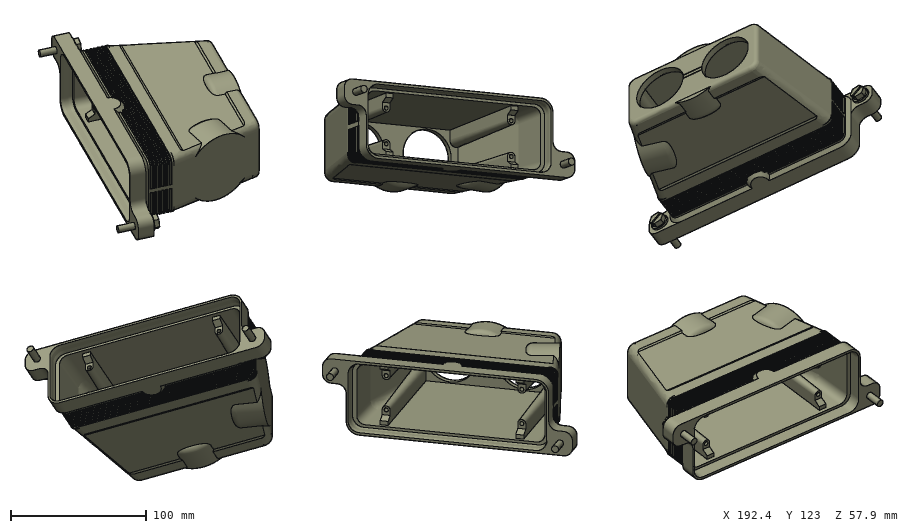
import cadquery as cq
import math


FLANGE_HALF_X = 78.0
FLANGE_HALF_Z = 28.97
FLANGE_THICK = 12.3
FLANGE_CORNER = 10.2
FLANGE_CHAMFER = 2.9

EAR_TIP_X = 96.2
EAR_WIDTH_Z = 19.2
EAR_ROUND = 7.0

COLLAR_HALF_X = 74.9
COLLAR_HALF_Z = 26.28
COLLAR_TOP_Y = 35.5
COLLAR_CORNER = 5.8
GROOVE_COUNT = 6
GROOVE_PITCH = 2.98
GROOVE_LAST_Y = 32.7
GROOVE_DEPTH = 0.5
GROOVE_FLOOR = 1.0
PARTING_STRIP_WIDTH = 3.8

SIDE_SLOPE = math.tan(math.radians(14.5))
HOOD_TOP_Y = 109.7
HOOD_CORNER = 7.1
HOOD_TOP_ROUND = 3.5

PANEL_START_Y = 43.1
PANEL_END_Y = 99.0
PANEL_DEPTH = 0.5
PANEL_RAMP = 1.7

BARREL_RADIUS = FLANGE_HALF_Z
BARREL_ROUND = 5.5
TOP_BARREL_START_Y = 86.6
TOP_BARREL_END_Y = 109.1
SIDE_BARREL_X = 39.8
SIDE_BARREL_Y = 68.5
NUB_SIZE_X = 15.8
NUB_SIZE_Z = 3.5
NUB_TOP_Y = 110.1

BUMP_RADIUS = 7.3
BUMP_Y = FLANGE_THICK

SEAL_HALF_X = 76.5
SEAL_HALF_Z = 27.0
SEAL_CORNER = 8.5
SEAL_STEP_X = 0.4
SEAL_STEP_Z = 0.5
SEAL_LEAD_IN = 2.7
SEAL_STRAIGHT_END = 6.4
SEAL_DEPTH = 9.0
CAVITY_HALF_X = 72.4
CAVITY_HALF_Z = 23.7
CAVITY_CORNER = 6.5
CAVITY_BEND_HALF_X = 70.6
CAVITY_FLOOR_Y = 105.0
CAVITY_FLOOR_HALF_X = 53.9
CAVITY_FLOOR_HALF_Z = 21.0
CAVITY_FLOOR_CORNER = 5.2

CABLE_HOLE_X = 28.1
CABLE_HOLE_RADIUS = 20.0

POST_X = 52.2
POST_Z = 13.5
POST_RADIUS = 3.0
POST_FACE_Y = 17.3
POST_DRAFT = 1.3
POST_HOLE_RADIUS = 1.5
POST_HOLE_DEPTH = 11.5
TAB_TIP_Y = 12.1
TAB_FOOT_Z = 17.5
TAB_TIP_Z = 20.5

SCREW_X = 86.6
SCREW_Z = 19.5
SCREW_RADIUS = 2.7
SCREW_TIP_Y = -12.9
WASHER_RADIUS = 6.7
WASHER_THICK = 1.5
HEX_ACROSS_CORNERS = 11.7
HEX_TOP_Y = 18.0
HEX_TURN = -13.0
HEX_HALF_STEP = 30.0
DRIVER_SLOT_WIDTH = 1.5
DRIVER_SLOT_DEPTH = 2.3

CUT_MARGIN = 9.6


def section_plane(y):
    """Plane at height y with local x along X and local y along Z."""
    return cq.Workplane("XZ", origin=(0, y, 0))


def rounded_section(half_x, half_z, corner):
    return cq.Sketch().rect(2 * half_x, 2 * half_z).vertices().fillet(corner)


def rounded_block(y_start, y_end, start, end=None):
    """Block between two rounded rectangles, each given as (half x, half z, corner)."""
    lift = cq.Location(cq.Vector(0, 0, y_start - y_end))
    first = rounded_section(*start)
    last = rounded_section(*(end or start)).moved(lift)
    return section_plane(y_start).placeSketch(first, last).loft(ruled=True)


def rod(x, z, radius, y_start, y_end):
    return section_plane(y_end).center(x, z).circle(radius).extrude(y_end - y_start)


def side_x(y):
    """Half width of the hood at height y."""
    return COLLAR_HALF_X - SIDE_SLOPE * (y - COLLAR_TOP_Y)


def make_flange():
    flange = rounded_block(0, FLANGE_THICK, (FLANGE_HALF_X, FLANGE_HALF_Z, FLANGE_CORNER))
    ear = make_ear()
    opposite_ear = ear.rotate((0, 0, 0), (0, 1, 0), 180)
    base = (FLANGE_HALF_X, FLANGE_HALF_Z, FLANGE_CORNER)
    tip = (COLLAR_HALF_X, COLLAR_HALF_Z, COLLAR_CORNER)
    chamfer = rounded_block(FLANGE_THICK, FLANGE_THICK + FLANGE_CHAMFER, base, tip)
    return flange.union(ear).union(opposite_ear).union(chamfer)


def make_ear():
    """Ear at the -X, +Z corner, blended into the flange end by a concave arc."""
    bottom_z = FLANGE_HALF_Z - EAR_WIDTH_Z
    inner_x = -FLANGE_HALF_X + FLANGE_CORNER
    blend_x = -FLANGE_HALF_X - EAR_ROUND
    blend_z = bottom_z - EAR_ROUND
    return (
        section_plane(FLANGE_THICK)
        .moveTo(inner_x, FLANGE_HALF_Z)
        .lineTo(-EAR_TIP_X + EAR_ROUND, FLANGE_HALF_Z)
        .radiusArc((-EAR_TIP_X, FLANGE_HALF_Z - EAR_ROUND), -EAR_ROUND)
        .lineTo(-EAR_TIP_X, bottom_z + EAR_ROUND)
        .radiusArc((-EAR_TIP_X + EAR_ROUND, bottom_z), -EAR_ROUND)
        .lineTo(blend_x, bottom_z)
        .radiusArc((-FLANGE_HALF_X, blend_z), EAR_ROUND)
        .lineTo(inner_x, blend_z)
        .close()
        .extrude(FLANGE_THICK)
    )


def make_collar():
    collar = rounded_block(FLANGE_THICK, COLLAR_TOP_Y, (COLLAR_HALF_X, COLLAR_HALF_Z, COLLAR_CORNER))
    for index in range(GROOVE_COUNT):
        collar = collar.cut(make_groove(GROOVE_LAST_Y - index * GROOVE_PITCH))
    return collar


def make_groove(y):
    """Trapezoidal ring groove, interrupted by the parting strip on both narrow ends."""
    half_floor = GROOVE_FLOOR / 2
    half_mouth = half_floor + GROOVE_DEPTH
    outer = (COLLAR_HALF_X, COLLAR_HALF_Z, COLLAR_CORNER)
    inner = tuple(size - GROOVE_DEPTH for size in outer)
    ring = rounded_block(y - half_mouth, y + half_mouth, [size + GROOVE_DEPTH for size in outer])
    ring = ring.cut(rounded_block(y - half_mouth, y - half_floor, outer, inner))
    ring = ring.cut(rounded_block(y - half_floor, y + half_floor, inner))
    ring = ring.cut(rounded_block(y + half_floor, y + half_mouth, inner, outer))
    strip = cq.Workplane("XY").box(4 * COLLAR_HALF_X, 4 * COLLAR_TOP_Y, PARTING_STRIP_WIDTH)
    return ring.cut(strip)


def make_hood():
    foot = (side_x(COLLAR_TOP_Y), COLLAR_HALF_Z, HOOD_CORNER)
    top = (side_x(HOOD_TOP_Y), COLLAR_HALF_Z, HOOD_CORNER)
    hood = rounded_block(COLLAR_TOP_Y, HOOD_TOP_Y, foot, top)
    hood = hood.faces(">Y").edges().fillet(HOOD_TOP_ROUND)
    panel = make_panel_cutter()
    return hood.cut(panel).cut(panel.mirror("XY"))


def make_panel_cutter():
    floor_z = COLLAR_HALF_Z - PANEL_DEPTH
    profile = [
        (PANEL_START_Y, COLLAR_HALF_Z),
        (PANEL_START_Y + PANEL_RAMP, floor_z),
        (PANEL_END_Y - PANEL_RAMP, floor_z),
        (PANEL_END_Y, COLLAR_HALF_Z),
    ]
    return cq.Workplane("YZ").polyline(profile).close().extrude(COLLAR_HALF_X, both=True)


def make_top_barrel():
    barrel = rod(0, 0, BARREL_RADIUS, TOP_BARREL_START_Y, TOP_BARREL_END_Y)
    barrel = barrel.faces("<Y").edges().fillet(BARREL_ROUND)
    nub = section_plane(NUB_TOP_Y).rect(NUB_SIZE_X, NUB_SIZE_Z).extrude(NUB_TOP_Y - TOP_BARREL_START_Y)
    return barrel.union(nub)


def make_side_barrel():
    """Barrel square to the sloping +X side and trimmed flush with it."""
    axis = cq.Vector(1, SIDE_SLOPE, 0).normalized()
    start = cq.Vector(SIDE_BARREL_X, SIDE_BARREL_Y, 0)
    plane = cq.Plane(origin=start, xDir=(0, 0, 1), normal=axis)
    barrel = cq.Workplane(plane).circle(BARREL_RADIUS).extrude(COLLAR_HALF_X)
    barrel = barrel.faces(cq.selectors.DirectionMinMaxSelector(axis, False)).edges().fillet(BARREL_ROUND)
    trim = (
        cq.Workplane("XY")
        .polyline([(0, 0), (side_x(0), 0), (side_x(HOOD_TOP_Y), HOOD_TOP_Y), (0, HOOD_TOP_Y)])
        .close()
        .extrude(BARREL_RADIUS, both=True)
    )
    return barrel.intersect(trim)


def make_latch_bumps():
    """Cones along Z whose tips are level with the flange, widening at 45 degrees to the collar."""
    base_radius = BUMP_RADIUS + FLANGE_HALF_Z
    center = cq.Vector(0, BUMP_Y, 0)
    cone = cq.Solid.makeCone(base_radius, BUMP_RADIUS, FLANGE_HALF_Z, center, cq.Vector(0, 0, 1))
    root = cq.Workplane("XY").box(4 * base_radius, 4 * base_radius, 2 * (CAVITY_HALF_Z + GROOVE_DEPTH))
    below = cq.Workplane("XZ").rect(4 * base_radius, 4 * base_radius).extrude(2 * base_radius)
    bump = cq.Workplane(cone).cut(root).cut(below)
    return bump.union(bump.mirror("XY"))


def make_cavity():
    """Seal seat at the mouth, then a hollow whose ends bend inwards to follow the hood."""
    depth = CAVITY_FLOOR_Y - SEAL_DEPTH
    bend_y = CAVITY_FLOOR_Y - (CAVITY_BEND_HALF_X - CAVITY_FLOOR_HALF_X) / SIDE_SLOPE
    wall_draft = (CAVITY_HALF_Z - CAVITY_FLOOR_HALF_Z) / depth
    bend_half_z = CAVITY_HALF_Z - wall_draft * (bend_y - SEAL_DEPTH)

    mouth = (SEAL_HALF_X, SEAL_HALF_Z, SEAL_CORNER)
    seat = (SEAL_HALF_X - SEAL_STEP_X, SEAL_HALF_Z - SEAL_STEP_Z, SEAL_CORNER)
    ledge = (SEAL_HALF_X - 2 * SEAL_STEP_X, SEAL_HALF_Z - 2 * SEAL_STEP_Z, SEAL_CORNER)
    entry = (CAVITY_HALF_X, CAVITY_HALF_Z, CAVITY_CORNER)
    bend = (CAVITY_BEND_HALF_X, bend_half_z, CAVITY_CORNER)
    floor = (CAVITY_FLOOR_HALF_X, CAVITY_FLOOR_HALF_Z, CAVITY_FLOOR_CORNER)

    cavity = rounded_block(0, SEAL_LEAD_IN, mouth, seat)
    cavity = cavity.union(rounded_block(SEAL_LEAD_IN, SEAL_STRAIGHT_END, seat))
    cavity = cavity.union(rounded_block(SEAL_STRAIGHT_END, SEAL_DEPTH, seat, ledge))
    cavity = cavity.union(rounded_block(SEAL_DEPTH, bend_y, entry, bend))
    return cavity.union(rounded_block(bend_y, CAVITY_FLOOR_Y, bend, floor))


def make_post():
    """Drafted screw post at +X, +Z with a ramped tab standing against the broad wall."""
    root_z = CAVITY_HALF_Z
    length = CAVITY_FLOOR_Y - POST_FACE_Y
    post = (
        section_plane(POST_FACE_Y)
        .moveTo(POST_X - POST_RADIUS, root_z)
        .lineTo(POST_X - POST_RADIUS, POST_Z)
        .threePointArc((POST_X, POST_Z - POST_RADIUS), (POST_X + POST_RADIUS, POST_Z))
        .lineTo(POST_X + POST_RADIUS, root_z)
        .close()
        .extrude(-length, taper=-POST_DRAFT)
    )
    ramp = [
        (POST_FACE_Y, TAB_FOOT_Z),
        (TAB_TIP_Y, TAB_TIP_Z),
        (TAB_TIP_Y, root_z),
        (POST_FACE_Y, root_z),
    ]
    tab = (
        cq.Workplane("YZ", origin=(POST_X, 0, 0))
        .polyline(ramp)
        .close()
        .extrude(POST_RADIUS, both=True)
    )
    hole = rod(POST_X, POST_Z, POST_HOLE_RADIUS, POST_FACE_Y, POST_FACE_Y + POST_HOLE_DEPTH)
    return post.union(tab).cut(hole)


def make_screw(x, z):
    washer_top = FLANGE_THICK + WASHER_THICK
    shank = rod(x, z, SCREW_RADIUS, SCREW_TIP_Y, FLANGE_THICK)
    washer = rod(x, z, WASHER_RADIUS, FLANGE_THICK, washer_top)
    head = (
        section_plane(HEX_TOP_Y)
        .center(x, z)
        .transformed(rotate=(0, 0, HEX_TURN))
        .polygon(6, HEX_ACROSS_CORNERS)
        .extrude(HEX_TOP_Y - washer_top)
    )
    slot = (
        section_plane(HEX_TOP_Y)
        .center(x, z)
        .transformed(rotate=(0, 0, HEX_TURN - HEX_HALF_STEP))
        .rect(2 * HEX_ACROSS_CORNERS, DRIVER_SLOT_WIDTH)
        .extrude(DRIVER_SLOT_DEPTH)
    )
    head = head.cut(slot)
    return shank.union(washer).union(head)


outer = make_flange().union(make_collar()).union(make_hood())
outer = outer.union(make_top_barrel()).union(make_side_barrel()).union(make_latch_bumps())

shell = outer.cut(make_cavity())
post = make_post().intersect(outer)
for corner_post in (post, post.mirror("XY")):
    shell = shell.union(corner_post).union(corner_post.mirror("YZ"))

for side in (-1, 1):
    hole_end_y = HOOD_TOP_Y + CUT_MARGIN
    hole_start_y = CAVITY_FLOOR_Y - CUT_MARGIN
    shell = shell.cut(rod(side * CABLE_HOLE_X, 0, CABLE_HOLE_RADIUS, hole_start_y, hole_end_y))
    shell = shell.union(make_screw(side * SCREW_X, -side * SCREW_Z))

result = shell